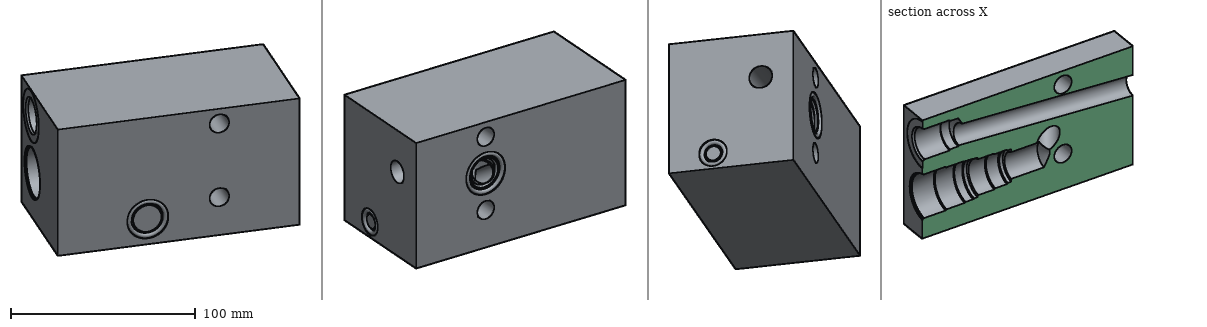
import cadquery as cq
import math

BLOCK_X = 70.0
BLOCK_Y = 136.6
BLOCK_Z = 76.2

UP = cq.Vector(0, 0, 1)
INTO_LEFT = cq.Vector(1, 0, 0)
INTO_RIGHT = cq.Vector(-1, 0, 0)
INTO_FRONT = cq.Vector(0, 1, 0)
INTO_BACK = cq.Vector(0, -1, 0)

DRILL_TIP_SLOPE = math.tan(math.radians(31))
OVERRUN = 2.7

SIDE_PORT = cq.Vector(0, 91.3, 45.1)
SIDE_PORT_MOUTH_R = 8.9
SIDE_PORT_FLOOR_R = 7.7
SIDE_PORT_TAPER_START = 1.4
SIDE_PORT_DEPTH = 2.5
BOLT_HOLE_R = 5.5
BOLT_OFFSET = 22.2

CORD_R = 1.4
RING_PROUD = 0.4
GLAND_DEPTH = 2 * CORD_R - RING_PROUD
GLAND_LIP_DRAFT = 1.0
GLAND_LIP_DEPTH = 0.8

RING_SEATS = [
    (SIDE_PORT, INTO_LEFT, 11.4),
    (cq.Vector(BLOCK_X, 50.8, 15.2), INTO_RIGHT, 10.3),
    (cq.Vector(45.2, BLOCK_Y, 9.3), INTO_BACK, 6.5),
]

LOWER_PORT = cq.Vector(20.7, 0, 27.0)
LOWER_RIM_R = 15.0
LOWER_RIM_DEPTH = 0.4
LOWER_STEPS = [
    (14.5, 0.5),
    (14.1, 15.1),
    (13.6, 27.4),
    (13.2, 32.9),
    (12.7, 35.6),
    (11.7, 46.6),
    (11.1, 54.8),
    (10.5, 57.5),
]
LOWER_STEP_CONE = 0.5
LOWER_PILOT_R = 8.8
LOWER_PILOT_DEPTH = 78.8

UPPER_PORT = cq.Vector(18.4, 0, 60.3)
SPOTFACE_R = 15.0
SPOTFACE_DEPTH = 0.1
UPPER_RIM_R = 10.4
UPPER_RIM_DEPTH = 1.4
UPPER_THREAD_R = 9.6
UPPER_THREAD_DEPTH = 17.8
UPPER_BORE_R = 8.9
UPPER_BORE_DEPTH = 23.3

BACK_HOLE_R = 6.5
BACK_HOLE_Z = 51.0
BACK_HOLE_RISE = 0.066

SLANT_HOLE_R = 6.3
SLANT_HOLE_REACH = 21.9
SLANT_HOLE_FALL = 0.6
SLANT_HOLE_RUN_IN = 6.9


def turned(center, inward, profile):
    """Solid of revolution about `inward` through `center`; profile points are (radius, depth)."""
    across = UP.cross(inward)
    plane = cq.Plane(origin=center, xDir=across, normal=across.cross(inward))
    return cq.Workplane(plane).polyline(profile).close().revolve(360, (0, 0), (0, 1))


def rod(center, inward, radius, start, end):
    """Round rod between two depths along `inward`."""
    return turned(center, inward, [(0, start), (radius, start), (radius, end), (0, end)])


def o_ring(center, inward, mean_r):
    ring_center = center + inward * (CORD_R - RING_PROUD)
    return cq.Workplane(cq.Solid.makeTorus(mean_r, CORD_R, ring_center, inward))


def gland(center, inward, mean_r):
    """Ring groove whose drafted inner wall ends in a lip below the face."""
    outer_r = mean_r + CORD_R
    inner_r = mean_r - CORD_R
    return turned(center, inward, [
        (0, 0),
        (outer_r, 0),
        (outer_r, GLAND_DEPTH),
        (inner_r, GLAND_DEPTH),
        (inner_r - GLAND_LIP_DRAFT, GLAND_LIP_DEPTH),
        (0, GLAND_LIP_DEPTH),
    ])


def side_port():
    return turned(SIDE_PORT, INTO_LEFT, [
        (0, 0),
        (SIDE_PORT_MOUTH_R, 0),
        (SIDE_PORT_MOUTH_R, SIDE_PORT_TAPER_START),
        (SIDE_PORT_FLOOR_R, SIDE_PORT_DEPTH),
        (0, SIDE_PORT_DEPTH),
    ])


def bolt_hole(offset):
    return rod(SIDE_PORT + UP * offset, INTO_LEFT, BOLT_HOLE_R, -OVERRUN, BLOCK_X + OVERRUN)


def lower_port():
    profile = [(0, 0), (LOWER_RIM_R, 0)]
    step_start = LOWER_RIM_DEPTH
    for radius, step_end in LOWER_STEPS:
        profile += [(radius, step_start), (radius, step_end)]
        step_start = step_end + LOWER_STEP_CONE
    _, floor_depth = LOWER_STEPS[-1]
    profile += [
        (LOWER_PILOT_R, floor_depth),
        (LOWER_PILOT_R, LOWER_PILOT_DEPTH),
        (0, LOWER_PILOT_DEPTH + LOWER_PILOT_R * DRILL_TIP_SLOPE),
    ]
    return turned(LOWER_PORT, INTO_FRONT, profile)


def upper_port():
    return turned(UPPER_PORT, INTO_FRONT, [
        (0, 0),
        (SPOTFACE_R, 0),
        (SPOTFACE_R, SPOTFACE_DEPTH),
        (UPPER_RIM_R, SPOTFACE_DEPTH),
        (UPPER_THREAD_R, UPPER_RIM_DEPTH),
        (UPPER_THREAD_R, UPPER_THREAD_DEPTH),
        (UPPER_BORE_R, UPPER_THREAD_DEPTH),
        (UPPER_BORE_R, UPPER_BORE_DEPTH),
        (0, UPPER_BORE_DEPTH + UPPER_BORE_R * DRILL_TIP_SLOPE),
    ])


def back_hole():
    mouth = cq.Vector(UPPER_PORT.x, BLOCK_Y, BACK_HOLE_Z)
    direction = cq.Vector(0, -1, BACK_HOLE_RISE).normalized()
    return rod(mouth, direction, BACK_HOLE_R, -OVERRUN, BLOCK_Y - UPPER_BORE_DEPTH)


def slant_hole():
    start = SIDE_PORT + INTO_LEFT * SIDE_PORT_DEPTH
    run = cq.Vector(1, -SLANT_HOLE_FALL, -SLANT_HOLE_FALL) * SLANT_HOLE_REACH
    return turned(start, run.normalized(), [
        (0, -SLANT_HOLE_RUN_IN),
        (SLANT_HOLE_R, -SLANT_HOLE_RUN_IN),
        (SLANT_HOLE_R, run.Length),
        (0, run.Length + SLANT_HOLE_R * DRILL_TIP_SLOPE),
    ])


def valve_block():
    block = cq.Workplane().box(BLOCK_X, BLOCK_Y, BLOCK_Z, centered=False)
    cuts = [side_port(), lower_port(), upper_port(), back_hole(), slant_hole()]
    cuts += [bolt_hole(offset) for offset in (-BOLT_OFFSET, BOLT_OFFSET)]
    cuts += [gland(*seat) for seat in RING_SEATS]
    for cut in cuts:
        block = block.cut(cut)
    return block


block = valve_block()
o_rings = [o_ring(*seat) for seat in RING_SEATS]

result = cq.Compound.makeCompound([block.val()] + [ring.val() for ring in o_rings])